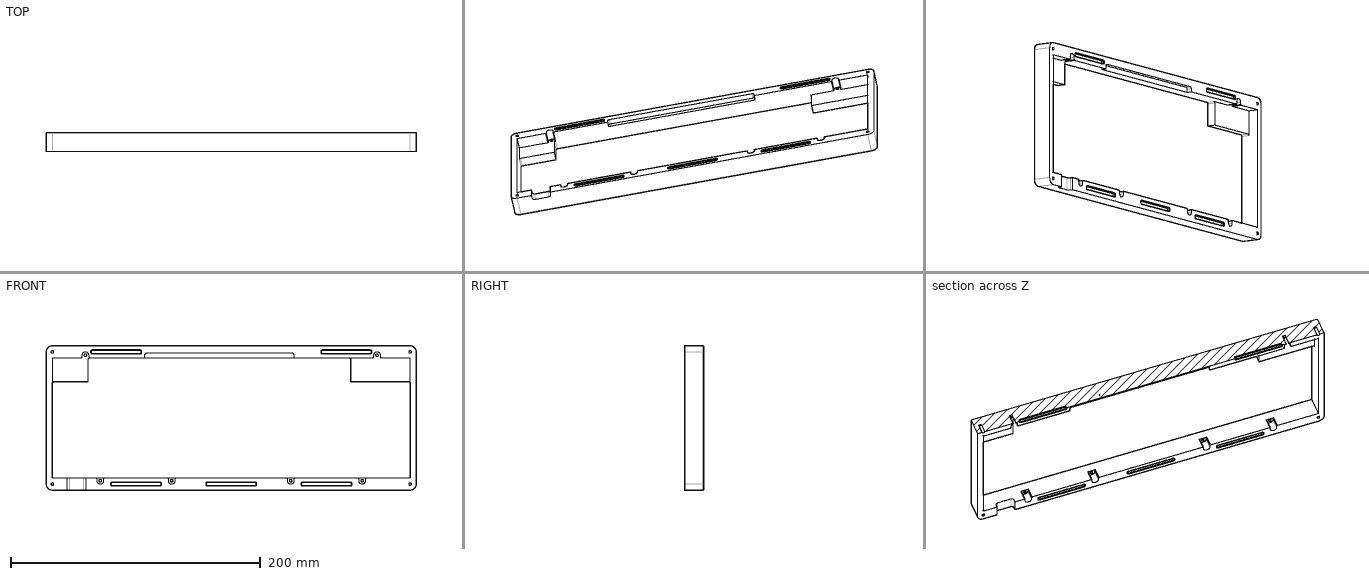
import cadquery as cq

KEY_PITCH = 19.05
KEY_COLUMNS = 15
KEY_ROWS = 5
OPENING_CLEARANCE = 0.25
SIDE_WALL = 5.0
RAIL_HEIGHT = 10.0
THICKNESS = 15.5
CORNER_RADIUS = 5.0
BACK_FILLET = 1.0

OPENING_LENGTH = KEY_COLUMNS * KEY_PITCH + 2 * OPENING_CLEARANCE
OPENING_HEIGHT = KEY_ROWS * KEY_PITCH + 2 * OPENING_CLEARANCE
LENGTH = OPENING_LENGTH + 2 * SIDE_WALL
HEIGHT = OPENING_HEIGHT + 2 * RAIL_HEIGHT
FRONT_Y = -THICKNESS / 2
BACK_Y = THICKNESS / 2
HALF_OPENING_LENGTH = OPENING_LENGTH / 2
HALF_OPENING_HEIGHT = OPENING_HEIGHT / 2

LEDGE_DEPTH = 8.5
LEFT_BLOCK_LENGTH = 1.5 * KEY_PITCH
RIGHT_BLOCK_LENGTH = 2.5 * KEY_PITCH
BLOCK_HEIGHT = KEY_PITCH
BLOCK_FILLET = 1.0

HOLE_DIAMETER = 2.08
CORNER_HOLE_DEPTH = 8.0
CORNER_HOLE_X = LENGTH / 2 - CORNER_RADIUS
CORNER_HOLE_Z = HEIGHT / 2 - CORNER_RADIUS

SEAT_RADIUS = 2.7
SEAT_MOUTH_FILLET = 0.5
SEAT_HOLE_DEPTH = 5.0
SEAT_INSET = 2.35
SEAT_Z = HALF_OPENING_HEIGHT + SEAT_INSET
BOTTOM_SEAT_XS = [offset * KEY_PITCH for offset in (-5.5, -2.5, 2.5, 5.5)]
TOP_SEAT_XS = [offset * KEY_PITCH for offset in (-6.125, 6.125)]

SLOT_LENGTH = 40.8
SLOT_WIDTH = 3.5
SLOT_DEPTH = 2.0
SLOT_CORNER_RADIUS = 1.5
SLOT_CHAMFER = 0.5
SLOT_CHAMFER_ANGLE = 45
SLOT_Z = CORNER_HOLE_Z
BOTTOM_SLOT_XS = (-4 * KEY_PITCH, 0, 4 * KEY_PITCH)
TOP_SLOT_X = 92.1

RECESS_CENTER_X = -0.5 * KEY_PITCH
RECESS_LENGTH = 119.5
RECESS_HEIGHT = 4.0
RECESS_DEPTH = 4.0
RECESS_CORNER_RADIUS = 1.5

CHANNEL_CENTER_X = -6.5 * KEY_PITCH
CHANNEL_LENGTH = 15.2
CHANNEL_DEPTH = 4.0
CHANNEL_FILLET = 2.0


def block(x_min, x_max, y_min, y_max, z_min, z_max):
    """Box given by its limits along each axis."""
    return cq.Workplane("XY").box(
        x_max - x_min, y_max - y_min, z_max - z_min, centered=False
    ).translate((x_min, y_min, z_min))


def blind_hole(x, z, y_start, depth):
    """Round cutter running toward +Y from y_start."""
    plane = cq.Workplane("XZ", origin=(x, y_start, z))
    return plane.circle(HOLE_DIAMETER / 2).extrude(-depth)


def make_frame():
    """Rounded outer plate with a filleted back edge, less the rectangular opening."""
    plate = cq.Workplane("XY").box(LENGTH, THICKNESS, HEIGHT)
    plate = plate.edges("|Y").fillet(CORNER_RADIUS)
    plate = plate.faces(">Y").edges().fillet(BACK_FILLET)
    return plate.cut(cq.Workplane("XY").box(OPENING_LENGTH, THICKNESS, OPENING_HEIGHT))


def corner_fillet(x, z, x_sign, z_sign):
    """Fillet in an inner corner at (x, z), growing along the given X and Z directions."""
    return (
        cq.Workplane("XZ", origin=(0, FRONT_Y + LEDGE_DEPTH, 0))
        .moveTo(x, z)
        .lineTo(x + x_sign * BLOCK_FILLET, z)
        .radiusArc((x, z + z_sign * BLOCK_FILLET), x_sign * z_sign * BLOCK_FILLET)
        .close()
        .extrude(LEDGE_DEPTH - THICKNESS)
    )


def make_corner_blocks():
    """Thick blocks filling the back of both upper corners of the opening."""
    y_min = FRONT_Y + LEDGE_DEPTH
    z_min = HALF_OPENING_HEIGHT - BLOCK_HEIGHT
    left_end = -HALF_OPENING_LENGTH + LEFT_BLOCK_LENGTH
    right_start = HALF_OPENING_LENGTH - RIGHT_BLOCK_LENGTH
    left = block(-HALF_OPENING_LENGTH, left_end, y_min, BACK_Y, z_min, HALF_OPENING_HEIGHT)
    right = block(right_start, HALF_OPENING_LENGTH, y_min, BACK_Y, z_min, HALF_OPENING_HEIGHT)
    blocks = left.union(right)
    fillets = [
        corner_fillet(-HALF_OPENING_LENGTH, z_min, 1, -1),
        corner_fillet(HALF_OPENING_LENGTH, z_min, -1, -1),
        corner_fillet(left_end, HALF_OPENING_HEIGHT, 1, -1),
        corner_fillet(right_start, HALF_OPENING_HEIGHT, -1, -1),
    ]
    for fillet in fillets:
        blocks = blocks.union(fillet)
    return blocks


def make_seat(x, side):
    """Screw seat cutter; side is 1 for the top rail and -1 for the bottom rail."""
    mouth = SEAT_RADIUS + SEAT_MOUTH_FILLET
    edge_z = side * HALF_OPENING_HEIGHT
    flare_z = edge_z + side * SEAT_MOUTH_FILLET
    center_z = side * SEAT_Z
    outline = (
        cq.Workplane("XZ", origin=(0, FRONT_Y, 0))
        .moveTo(x - mouth, edge_z)
        .radiusArc((x - SEAT_RADIUS, flare_z), side * SEAT_MOUTH_FILLET)
        .lineTo(x - SEAT_RADIUS, center_z)
        .threePointArc((x, center_z + side * SEAT_RADIUS), (x + SEAT_RADIUS, center_z))
        .lineTo(x + SEAT_RADIUS, flare_z)
        .radiusArc((x + mouth, edge_z), side * SEAT_MOUTH_FILLET)
        .close()
    )
    recess = outline.extrude(-LEDGE_DEPTH)
    return recess.union(blind_hole(x, center_z, FRONT_Y + LEDGE_DEPTH, SEAT_HOLE_DEPTH))


def make_slot(x, z):
    """Long slot cutter with rounded corners and a chamfered mouth."""
    floor_length = SLOT_LENGTH - 2 * SLOT_CHAMFER
    floor_width = SLOT_WIDTH - 2 * SLOT_CHAMFER
    pocket = block(
        x - floor_length / 2, x + floor_length / 2,
        FRONT_Y, FRONT_Y + SLOT_DEPTH,
        z - floor_width / 2, z + floor_width / 2,
    ).edges("|Y").fillet(SLOT_CORNER_RADIUS - SLOT_CHAMFER)
    mouth = (
        cq.Workplane("XZ", origin=(x, FRONT_Y, z))
        .sketch()
        .rect(SLOT_LENGTH, SLOT_WIDTH)
        .vertices()
        .fillet(SLOT_CORNER_RADIUS)
        .finalize()
        .extrude(-SLOT_CHAMFER, taper=SLOT_CHAMFER_ANGLE)
    )
    return pocket.union(mouth)


def make_recess():
    """Recess cutter in the top rail, open to the opening."""
    recess = block(
        RECESS_CENTER_X - RECESS_LENGTH / 2, RECESS_CENTER_X + RECESS_LENGTH / 2,
        FRONT_Y, FRONT_Y + RECESS_DEPTH,
        HALF_OPENING_HEIGHT, HALF_OPENING_HEIGHT + RECESS_HEIGHT,
    )
    return recess.edges("|Y and >Z").fillet(RECESS_CORNER_RADIUS)


def make_channel():
    """Channel cutter crossing the bottom rail, rounded along both floor corners."""
    channel = block(
        CHANNEL_CENTER_X - CHANNEL_LENGTH / 2, CHANNEL_CENTER_X + CHANNEL_LENGTH / 2,
        FRONT_Y, FRONT_Y + CHANNEL_DEPTH,
        -HEIGHT / 2, -HALF_OPENING_HEIGHT,
    )
    return channel.edges("|Z and >Y").fillet(CHANNEL_FILLET)


result = make_frame().union(make_corner_blocks())

for x_sign in (-1, 1):
    for z_sign in (-1, 1):
        corner_hole = blind_hole(
            x_sign * CORNER_HOLE_X, z_sign * CORNER_HOLE_Z, FRONT_Y, CORNER_HOLE_DEPTH
        )
        result = result.cut(corner_hole)
    result = result.cut(make_slot(x_sign * TOP_SLOT_X, SLOT_Z))

for seat_x in BOTTOM_SEAT_XS:
    result = result.cut(make_seat(seat_x, -1))
for seat_x in TOP_SEAT_XS:
    result = result.cut(make_seat(seat_x, 1))
for slot_x in BOTTOM_SLOT_XS:
    result = result.cut(make_slot(slot_x, -SLOT_Z))

result = result.cut(make_recess())
result = result.cut(make_channel())